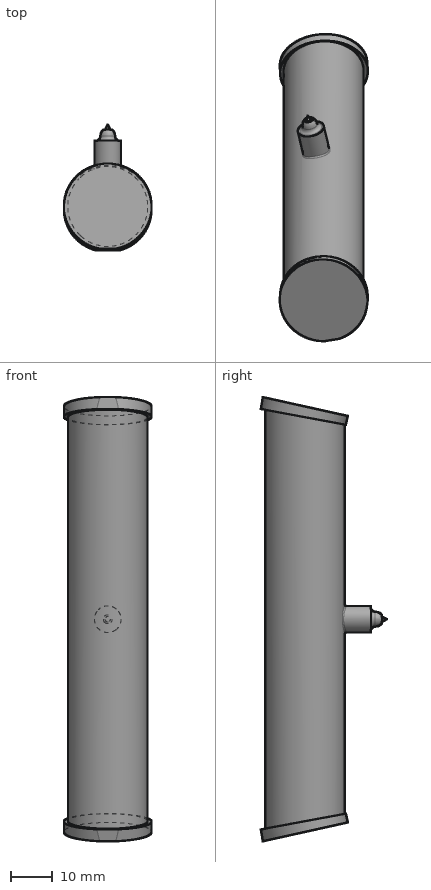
import cadquery as cq
import math

total_height = 106.3
tube_radius = 9.6

cap_radius = 10.5
cap_thickness = 2.5
cap_tilt = 12.5
seat_tilt = 10.5
flat_depth = 0.3
flat_tilt = 9.5

stem_radius = 3.2
stem_end = 15.7
stem_fillet = 0.3
nose_base_radius = 2.7
flare_mid_radius = 2.0
flare_mid = 16.2
nose_neck_radius = 1.8
nose_neck = 16.8
nose_end_radius = 1.1
nose_end = 18.4
tip_base_radius = 0.6
tip_end = 19.6

flat_outer_depth = flat_depth - cap_thickness * math.tan(math.radians(cap_tilt - flat_tilt))
rim_loss = flat_outer_depth * math.sin(math.radians(cap_tilt))
cap_center_z = total_height / 2 + rim_loss - cap_radius * math.sin(math.radians(cap_tilt))
seat_y = cap_thickness * math.sin(math.radians(cap_tilt))
seat_z = cap_center_z - cap_thickness * math.cos(math.radians(cap_tilt))
cut_size = 4 * cap_radius


def tilted_plane(y, z, tilt):
    """Plane facing up and leaning toward +Y, its local x along X."""
    angle = math.radians(tilt)
    return cq.Plane((0, y, z), (1, 0, 0), (0, math.sin(angle), math.cos(angle)))


cap_plane = tilted_plane(0, cap_center_z, cap_tilt)
seat_plane = tilted_plane(-seat_y, seat_z, seat_tilt)


def make_upper_cap():
    """Disc with a sloping seat and a narrow flat on its -Y side."""
    disc = cq.Workplane(cap_plane).circle(cap_radius).extrude(-2 * cap_thickness)
    above_seat = cq.Workplane(seat_plane).rect(cut_size, cut_size).extrude(cut_size)
    flat = (
        cq.Workplane(tilted_plane(-seat_y, seat_z, flat_tilt))
        .center(0, -cap_radius + flat_depth - cut_size / 2)
        .rect(cut_size, cut_size)
        .extrude(cut_size / 2, both=True)
    )
    return disc.intersect(above_seat).cut(flat)


def make_tube():
    """Round bar cut off at both ends along the cap seats."""
    bar = cq.Workplane("XY").circle(tube_radius).extrude(total_height / 2)
    above_seat = cq.Workplane(seat_plane).rect(cut_size, cut_size).extrude(cut_size)
    upper_half = bar.cut(above_seat)
    return upper_half.union(upper_half.mirror("XY")).clean()


def make_stem():
    """Stepped pointed stem, turned about the Y axis."""
    return (
        cq.Workplane("XY")
        .lineTo(stem_radius, 0)
        .lineTo(stem_radius, stem_end)
        .lineTo(nose_base_radius, stem_end)
        .threePointArc((flare_mid_radius, flare_mid), (nose_neck_radius, nose_neck))
        .tangentArcPoint((nose_end_radius, nose_end), relative=False)
        .lineTo(tip_base_radius, nose_end)
        .lineTo(0, tip_end)
        .close()
        .revolve(360, (0, 0, 0), (0, 1, 0))
    )


def make_housing():
    """Tube and stem in one piece, filleted where they meet."""
    joined = make_tube().union(make_stem())
    reach = stem_radius + stem_fillet
    root_box = cq.selectors.BoxSelector(
        (-reach, tube_radius / 2, -reach),
        (reach, tube_radius + stem_fillet, reach),
        boundingbox=True,
    )
    return joined.edges(root_box).fillet(stem_fillet)


housing = make_housing()
upper_cap = make_upper_cap()
lower_cap = upper_cap.mirror("XY")

result = cq.Compound.makeCompound([housing.val(), upper_cap.val(), lower_cap.val()])